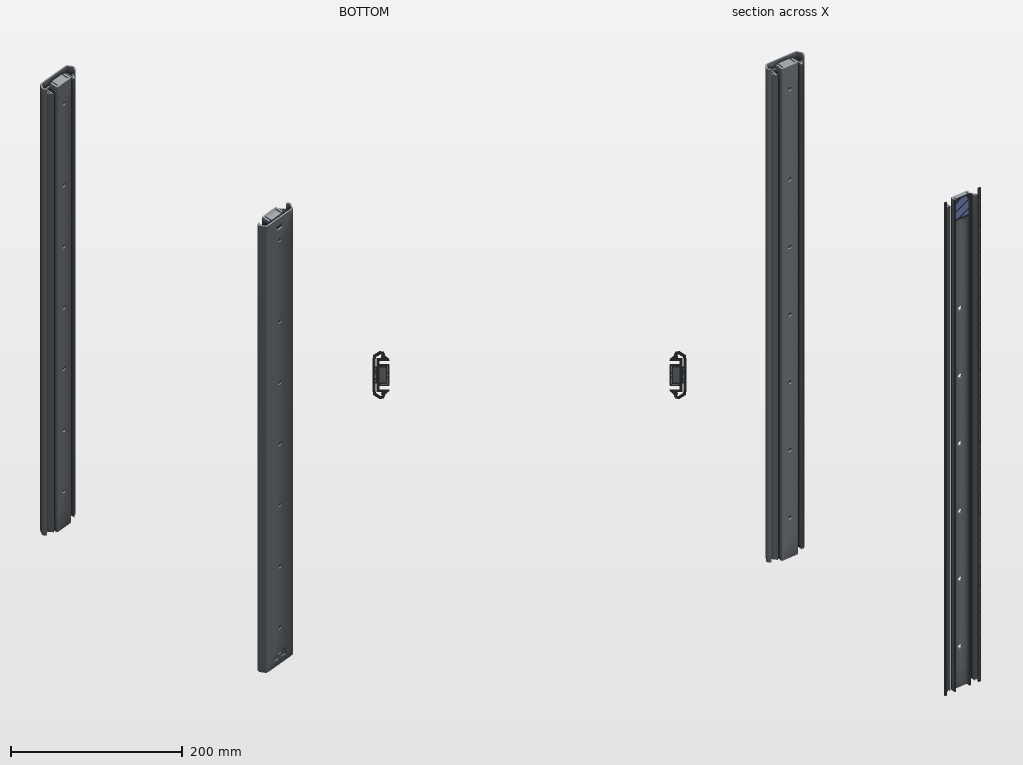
import cadquery as cq
import math

OVERALL_WIDTH = 364.0
SLIDE_LENGTH = 700.0
SLIDE_HEIGHT = 54.0
SLIDE_DEPTH = 18.0

OUTER_SHEET = 1.6
MIDDLE_SHEET = 1.4
INNER_SHEET = 2.2

OUTER_PATH = [
    (0.0, 18.4),
    (0.5, 22.6),
    (7.6, SLIDE_HEIGHT / 2),
    (11.2, 26.4),
    (12.8, 23.4),
]

MIDDLE_WEB_X = 5.9
MIDDLE_FLANGE_Y = 17.5
MIDDLE_PATH = [
    (MIDDLE_WEB_X, MIDDLE_FLANGE_Y),
    (SLIDE_DEPTH, MIDDLE_FLANGE_Y),
    (13.6, 21.6),
    (10.0, 22.4),
]
MIDDLE_BOTTOM = 4.0
MIDDLE_TOP_SETBACK = 8.0
MIDDLE_TOP = SLIDE_LENGTH - MIDDLE_TOP_SETBACK

INNER_HALF_HEIGHT = 12.0
INNER_FLANGE_END_X = 6.8
INNER_CORNER_RADIUS = 1.5
INNER_TOP_SETBACK = 2.0
INNER_TOP = SLIDE_LENGTH - INNER_TOP_SETBACK

BLOCK_HALF_HEIGHT = 8.0
BLOCK_LENGTH = 30.0
BLOCK_SHOULDER_DROP = 5.0

FIRST_HOLE_Z = 57.0
HOLE_PITCH = 96.0
PITCHED_HOLES = 6
TOP_HOLE_SETBACK = 35.0
TOP_HOLE_Z = SLIDE_LENGTH - TOP_HOLE_SETBACK
HOLE_Z = [FIRST_HOLE_Z + i * HOLE_PITCH for i in range(PITCHED_HOLES)] + [TOP_HOLE_Z]
OUTER_HOLE_DIAMETER = 5.8
INNER_HOLE_DIAMETER = 5.6

TOP_WINDOW_Z = (682.5, 689.5)
TOP_WINDOW_TOP_HALF = 6.0
TOP_WINDOW_BOTTOM_HALF = 4.0

LUG_CENTRE_Z = 13.5
LUG_RADIUS = 9.0
LUG_BORE_RADIUS = 4.2
LUG_FOOT_Z = 12.0
LUG_RECESS = 0.4
LUG_END_X = 4.2
LUG_WINDOW_HALF = 10.0
LUG_WINDOW_Z = (9.5, 20.0)
LUG_TONGUE_HALF = 2.4
LUG_TONGUE_TOP_Z = 16.0


def offset_path(points, distance):
    """The open path moved to its right by a distance, with mitred corners."""
    normals = []
    for (x0, y0), (x1, y1) in zip(points, points[1:]):
        length = math.hypot(x1 - x0, y1 - y0)
        normals.append(((y1 - y0) / length, (x0 - x1) / length))
    before = [normals[0]] + normals
    after = normals + [normals[-1]]
    moved = []
    for (x, y), (ax, ay), (bx, by) in zip(points, before, after):
        scale = distance / (1 + ax * bx + ay * by)
        moved.append((x + scale * (ax + bx), y + scale * (ay + by)))
    return moved


def bent_sheet(upper_half, thickness, length):
    """Rail bent from sheet: a symmetric path thickened to one side and extruded along Z."""
    lower_half = [(x, -y) for x, y in reversed(upper_half)]
    path = lower_half + upper_half
    section = path + offset_path(path, thickness)[::-1]
    return cq.Workplane("XY").polyline(section).close().extrude(length)


def web_holes(diameter, start_x, depth):
    """Cylinders along X at every screw position."""
    centres = [(0, z) for z in HOLE_Z]
    plane = cq.Workplane("YZ", origin=(start_x, 0, 0))
    return plane.pushPoints(centres).circle(diameter / 2).extrude(depth)


def arched_lug():
    """Half-round bridge that stands from the web towards the middle rail."""
    plane = cq.Workplane("YZ")
    return (
        plane.moveTo(-LUG_RADIUS, LUG_FOOT_Z)
        .lineTo(-LUG_RADIUS, LUG_CENTRE_Z)
        .threePointArc((0, LUG_CENTRE_Z + LUG_RADIUS), (LUG_RADIUS, LUG_CENTRE_Z))
        .lineTo(LUG_RADIUS, LUG_FOOT_Z)
        .lineTo(LUG_BORE_RADIUS, LUG_FOOT_Z)
        .lineTo(LUG_BORE_RADIUS, LUG_CENTRE_Z)
        .threePointArc((0, LUG_CENTRE_Z + LUG_BORE_RADIUS), (-LUG_BORE_RADIUS, LUG_CENTRE_Z))
        .lineTo(-LUG_BORE_RADIUS, LUG_FOOT_Z)
        .close()
        .extrude(LUG_END_X)
    )


def outer_rail():
    """Cabinet rail: flat web with two bulged lips that wrap the ball tracks."""
    rail = bent_sheet(OUTER_PATH, OUTER_SHEET, SLIDE_LENGTH)
    rail = rail.cut(web_holes(OUTER_HOLE_DIAMETER, 0, OUTER_SHEET))

    window_bottom, window_top = TOP_WINDOW_Z
    top_window = (
        cq.Workplane("YZ")
        .moveTo(-TOP_WINDOW_BOTTOM_HALF, window_bottom)
        .lineTo(TOP_WINDOW_BOTTOM_HALF, window_bottom)
        .lineTo(TOP_WINDOW_TOP_HALF, window_top)
        .lineTo(-TOP_WINDOW_TOP_HALF, window_top)
        .close()
        .extrude(OUTER_SHEET)
    )
    slot_bottom, slot_top = LUG_WINDOW_Z
    lug_window = (
        cq.Workplane("YZ")
        .moveTo(-LUG_WINDOW_HALF, slot_bottom)
        .lineTo(-LUG_TONGUE_HALF, slot_bottom)
        .lineTo(-LUG_TONGUE_HALF, LUG_TONGUE_TOP_Z)
        .lineTo(LUG_TONGUE_HALF, LUG_TONGUE_TOP_Z)
        .lineTo(LUG_TONGUE_HALF, slot_bottom)
        .lineTo(LUG_WINDOW_HALF, slot_bottom)
        .lineTo(LUG_WINDOW_HALF, slot_top)
        .lineTo(-LUG_WINDOW_HALF, slot_top)
        .close()
        .extrude(OUTER_SHEET)
    )
    lug = arched_lug()
    lug_recess = lug.translate((LUG_RECESS - LUG_END_X, 0, 0))
    return rail.cut(top_window).cut(lug_window).union(lug).cut(lug_recess)


def middle_rail():
    """Intermediate rail: channel whose flanges fold back into the cabinet rail's lips."""
    rail = bent_sheet(MIDDLE_PATH, -MIDDLE_SHEET, MIDDLE_TOP - MIDDLE_BOTTOM)
    return rail.translate((0, 0, MIDDLE_BOTTOM))


def inner_rail():
    """Drawer rail: channel that opens towards the middle rail's web."""
    inside_x = SLIDE_DEPTH - INNER_SHEET
    inside_half = INNER_HALF_HEIGHT - INNER_SHEET
    rail = (
        cq.Workplane("XY")
        .moveTo(INNER_FLANGE_END_X, -INNER_HALF_HEIGHT)
        .lineTo(SLIDE_DEPTH, -INNER_HALF_HEIGHT)
        .lineTo(SLIDE_DEPTH, INNER_HALF_HEIGHT)
        .lineTo(INNER_FLANGE_END_X, INNER_HALF_HEIGHT)
        .lineTo(INNER_FLANGE_END_X, inside_half)
        .lineTo(inside_x, inside_half)
        .lineTo(inside_x, -inside_half)
        .lineTo(INNER_FLANGE_END_X, -inside_half)
        .close()
        .extrude(INNER_TOP)
    )
    rail = rail.edges("|Z and >X").fillet(INNER_CORNER_RADIUS)
    return rail.cut(web_holes(INNER_HOLE_DIAMETER, inside_x, INNER_SHEET))


def stop_block():
    """Stepped block at the upper end, filling the drawer rail's channel up to the middle rail."""
    depth = SLIDE_DEPTH - INNER_SHEET - MIDDLE_WEB_X
    base_height = 2 * (INNER_HALF_HEIGHT - INNER_SHEET)
    base_length = BLOCK_LENGTH - BLOCK_SHOULDER_DROP
    head_height = 2 * BLOCK_HALF_HEIGHT
    plane = cq.Workplane("XY")
    base = plane.box(depth, base_height, base_length, centered=(False, True, False))
    head = plane.box(depth, head_height, BLOCK_LENGTH, centered=(False, True, False))
    return base.union(head).translate((MIDDLE_WEB_X, 0, INNER_TOP - BLOCK_LENGTH))


bodies = []
for part in (outer_rail(), middle_rail(), inner_rail(), stop_block()):
    left = part.translate((-OVERALL_WIDTH / 2, 0, -SLIDE_LENGTH / 2))
    right = left.mirror("YZ")
    bodies += [left.val(), right.val()]

result = cq.Compound.makeCompound(bodies)